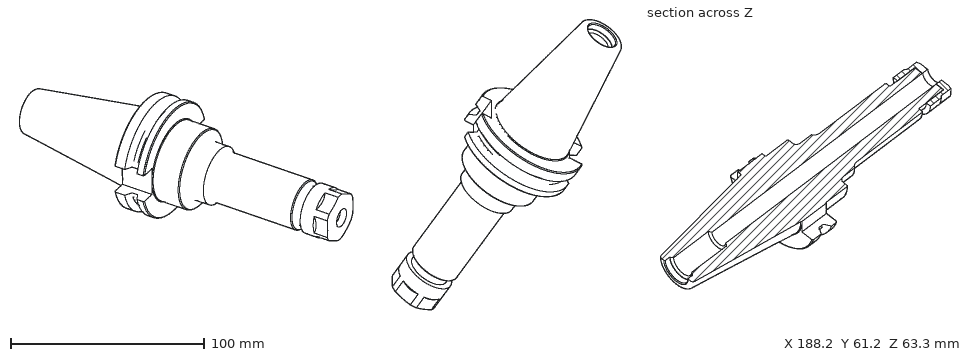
import cadquery as cq
import math

TAPER_END = 68.3
FLANGE_START = 69.3
FLANGE_END = 87.2
COLLAR_END = 103.3
SHOULDER_END = 114.3
SHANK_START = 118.2
SHANK_END = 166.2
NUT_START = 171.5
NUT_END = 188.2

TAPER_RATE = 7 / 24
COLLAR_RADIUS = 44.5 / 2
NOSE_FACE_RADIUS = 21.5 / 2
NOSE_ROUND_LENGTH = 1.7

FLANGE_RADIUS = 63.3 / 2
FLANGE_CHAMFER = 0.5
GROOVE_START = 75.5
GROOVE_END = 83.0
GROOVE_FLOOR_RADIUS = 27.9
GROOVE_SLOPE = math.radians(30)
GROOVE_FILLET = 0.5
SLOT_WIDTH = 16.2
FRONT_SLOT_FLOOR = 22.5
BACK_SLOT_FLOOR = 24.8

EDGE_CHAMFER = 0.5
ROOT_FILLET = 0.47
SHOULDER_RADIUS = 32 / 2
SHOULDER_FILLET = 2.8
SHANK_RADIUS = 27.5 / 2
NECK_RADIUS = 21.5 / 2

THROUGH_RADIUS = 10.0 / 2
MOUTH_RADIUS = 17.9 / 2
COUNTERBORE_RADIUS = 16.8 / 2
COUNTERBORE_DEPTH = 3.8
THREAD_MOUTH_RADIUS = 16.2 / 2
THREAD_RADIUS = 13.4 / 2
THREAD_START = 4.9
THREAD_END = 30.1
DRILL_HALF_ANGLE = math.radians(59)

NUT_LIP = 3.8
NUT_RADIUS = 27.5 / 2
NUT_FACE_RADIUS = 20.5 / 2
NUT_BEVEL_LENGTH = 1.0
FLAT_COUNT = 6
FLAT_DISTANCE = 25.5 / 2
FLAT_START = 179.4
FLAT_RUNOUT = 1.1

NECK_END = NUT_END - NUT_LIP


def revolve_about_x(profile):
    """Turn a closed (x, radius) outline about the X axis."""
    return profile.close().revolve(360, (0, 0, 0), (1, 0, 0))


def taper_radius(x):
    return COLLAR_RADIUS - (TAPER_END - x) * TAPER_RATE / 2


def holder_blank():
    groove_run = (FLANGE_RADIUS - GROOVE_FLOOR_RADIUS) * math.tan(GROOVE_SLOPE)
    floor_start = GROOVE_START + groove_run
    floor_end = GROOVE_END - groove_run
    fillet_setback = GROOVE_FILLET * math.tan(math.pi / 4 - GROOVE_SLOPE / 2)
    fillet_run = fillet_setback * math.sin(GROOVE_SLOPE)
    fillet_top = GROOVE_FLOOR_RADIUS + fillet_setback * math.cos(GROOVE_SLOPE)
    blend_run = SHANK_START - SHOULDER_END
    blend_drop = SHOULDER_RADIUS - SHANK_RADIUS
    blend_radius = (blend_run**2 + blend_drop**2) / (2 * blend_drop)
    diagonal = math.sqrt(0.5)
    nose_round_height = taper_radius(NOSE_ROUND_LENGTH) - NOSE_FACE_RADIUS
    profile = (
        cq.Workplane("XY")
        .moveTo(0, 0)
        .lineTo(0, NOSE_FACE_RADIUS)
        .threePointArc(
            (
                NOSE_ROUND_LENGTH * (1 - diagonal),
                NOSE_FACE_RADIUS + nose_round_height * diagonal,
            ),
            (NOSE_ROUND_LENGTH, taper_radius(NOSE_ROUND_LENGTH)),
        )
        .lineTo(TAPER_END, COLLAR_RADIUS)
        .lineTo(FLANGE_START - ROOT_FILLET, COLLAR_RADIUS)
        .radiusArc((FLANGE_START, COLLAR_RADIUS + ROOT_FILLET), -ROOT_FILLET)
        .lineTo(FLANGE_START, FLANGE_RADIUS - FLANGE_CHAMFER)
        .lineTo(FLANGE_START + FLANGE_CHAMFER, FLANGE_RADIUS)
        .lineTo(GROOVE_START, FLANGE_RADIUS)
        .lineTo(floor_start - fillet_run, fillet_top)
        .radiusArc((floor_start + fillet_setback, GROOVE_FLOOR_RADIUS), -GROOVE_FILLET)
        .lineTo(floor_end - fillet_setback, GROOVE_FLOOR_RADIUS)
        .radiusArc((floor_end + fillet_run, fillet_top), -GROOVE_FILLET)
        .lineTo(GROOVE_END, FLANGE_RADIUS)
        .lineTo(FLANGE_END - FLANGE_CHAMFER, FLANGE_RADIUS)
        .lineTo(FLANGE_END, FLANGE_RADIUS - FLANGE_CHAMFER)
        .lineTo(FLANGE_END, COLLAR_RADIUS + ROOT_FILLET)
        .radiusArc((FLANGE_END + ROOT_FILLET, COLLAR_RADIUS), -ROOT_FILLET)
        .lineTo(COLLAR_END - EDGE_CHAMFER, COLLAR_RADIUS)
        .lineTo(COLLAR_END, COLLAR_RADIUS - EDGE_CHAMFER)
        .lineTo(COLLAR_END, SHOULDER_RADIUS + SHOULDER_FILLET)
        .radiusArc((COLLAR_END + SHOULDER_FILLET, SHOULDER_RADIUS), -SHOULDER_FILLET)
        .lineTo(SHOULDER_END, SHOULDER_RADIUS)
        .radiusArc((SHANK_START, SHANK_RADIUS), -blend_radius)
        .lineTo(SHANK_END - EDGE_CHAMFER, SHANK_RADIUS)
        .lineTo(SHANK_END, SHANK_RADIUS - EDGE_CHAMFER)
        .lineTo(SHANK_END, NECK_RADIUS + ROOT_FILLET)
        .radiusArc((SHANK_END + ROOT_FILLET, NECK_RADIUS), -ROOT_FILLET)
        .lineTo(NECK_END, NECK_RADIUS)
        .lineTo(NECK_END, 0)
    )
    return revolve_about_x(profile)


def holder_bore():
    mouth_chamfer = MOUTH_RADIUS - COUNTERBORE_RADIUS
    drill_point = (THREAD_RADIUS - THROUGH_RADIUS) / math.tan(DRILL_HALF_ANGLE)
    profile = (
        cq.Workplane("XY")
        .moveTo(0, 0)
        .lineTo(0, MOUTH_RADIUS)
        .lineTo(mouth_chamfer, COUNTERBORE_RADIUS)
        .lineTo(COUNTERBORE_DEPTH, COUNTERBORE_RADIUS)
        .lineTo(COUNTERBORE_DEPTH, THREAD_MOUTH_RADIUS)
        .lineTo(THREAD_START, THREAD_RADIUS)
        .lineTo(THREAD_END, THREAD_RADIUS)
        .lineTo(THREAD_END + drill_point, THROUGH_RADIUS)
        .lineTo(NECK_END, THROUGH_RADIUS)
        .lineTo(NECK_END, 0)
    )
    return revolve_about_x(profile)


def drive_slot(side, floor):
    """Box that cuts one drive slot; side is -1 for -Y and +1 for +Y."""
    flange_length = FLANGE_END - FLANGE_START
    depth = FLANGE_RADIUS - floor
    center_x = FLANGE_START + flange_length / 2
    center_y = side * (floor + depth / 2)
    return cq.Workplane("XY").box(flange_length, depth, SLOT_WIDTH).translate((center_x, center_y, 0))


def make_holder():
    holder = holder_blank().cut(holder_bore())
    holder = holder.cut(drive_slot(-1, FRONT_SLOT_FLOOR))
    return holder.cut(drive_slot(1, BACK_SLOT_FLOOR))


def nut_blank():
    profile = (
        cq.Workplane("XY")
        .moveTo(NUT_START, NECK_RADIUS)
        .lineTo(NUT_START, NUT_RADIUS)
        .lineTo(NUT_END - NUT_BEVEL_LENGTH, NUT_RADIUS)
        .lineTo(NUT_END, NUT_FACE_RADIUS)
        .lineTo(NUT_END, THROUGH_RADIUS)
        .lineTo(NECK_END, THROUGH_RADIUS)
        .lineTo(NECK_END, NECK_RADIUS)
    )
    return revolve_about_x(profile)


def wrench_envelope():
    """Round rear of the nut with a conical end, joined to the hexagon of the wrench flats."""
    rear = revolve_about_x(
        cq.Workplane("XY")
        .moveTo(NUT_START, 0)
        .lineTo(NUT_START, NUT_RADIUS)
        .lineTo(FLAT_START, NUT_RADIUS)
        .lineTo(FLAT_START + FLAT_RUNOUT, FLAT_DISTANCE)
        .lineTo(FLAT_START + FLAT_RUNOUT, 0)
    )
    across_corners = 2 * FLAT_DISTANCE / math.cos(math.pi / FLAT_COUNT)
    hexagon = (
        cq.Workplane("YZ", origin=(FLAT_START, 0, 0))
        .transformed(rotate=(0, 0, 180 / FLAT_COUNT))
        .polygon(FLAT_COUNT, across_corners)
        .extrude(NUT_END - FLAT_START)
    )
    return rear.union(hexagon)


def make_nut():
    return nut_blank().intersect(wrench_envelope())


holder = make_holder()
nut = make_nut()

result = cq.Compound.makeCompound([holder.solids().val(), nut.solids().val()])